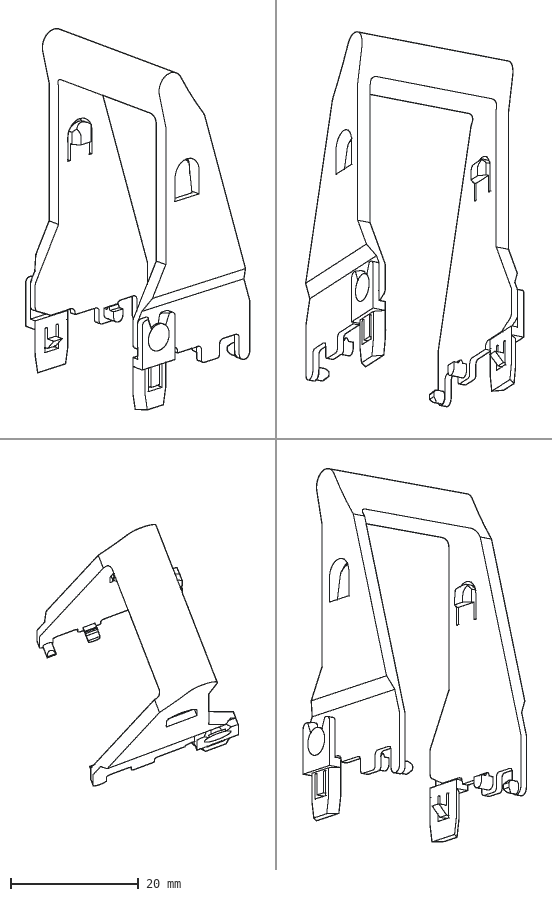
import cadquery as cq
import math

OUTER_X = 13.5
INNER_X = 11.25
LOWER_OUTER_X = 12.4
STEP_TOP_Z = 6.8
STEP_BOTTOM_Z = 4.65

FRONT_Y = -3.5
BACK_Y = 20.5
GRIP_R = 2.5
GRIP_Y = 2.55
GRIP_Z = 41.05
NECK_Z = 34.8
NECK_BACK_Y = 9.75
ARM_FRONT_Y = 1.5
ARM_BEND_Z = 11.75
FRONT_BEND_Z = 3.1
FRONT_BEND_R = 0.9
BACK_BEND_Z = 0.65
BACK_SCOOP_ANGLE = 30.0
FRONT_CORNER_R = 0.95
OPENING_TOP_Z = 36.3
OPENING_R = 1.0

PIVOT_EDGE_Z = -3.0
HEEL_Y = -0.2
HEEL_SLOPE = 25.0
EDGE_Z = -4.2
EDGE_R = 0.7
NOTCH_Y = 5.05
NOTCH_R = 1.0
LOBE_FRONT_Y = 10.15
LOBE_BACK_Y = 14.05
LOBE_BOTTOM_Z = -7.2
LOBE_R = 0.6
LEG_FRONT_Y = 18.2
LEG_R = (BACK_Y - LEG_FRONT_Y) / 2
LEG_Y = (BACK_Y + LEG_FRONT_Y) / 2
LEG_END_Z = -7.7

WINDOW_Y = 6.05
WINDOW_BOTTOM_Z = 21.8
WINDOW_ARC_Z = 25.75
WINDOW_R = 2.55
TONGUE_HALF_WIDTH = 2.05
TONGUE_TIP_Z = 27.8
TONGUE_ARC_R = 2.4
TONGUE_ROOT_RECESS = 1.1
TONGUE_TIP_RECESS = 1.95
BUMP_BOTTOM_Z = 24.6
BUMP_REACH = 1.45
BUMP_ROUND_Z = 25.7
BUMP_ROUND_R = 2.55
BUMP_CHAMFER = 1.0

LUG_Y = 12.15
LUG_R = 1.0
LUG_Z = -5.6
LUG_TOP_Z = -4.65
LUG_REACH = 2.3
RIDGE_OFFSET = 1.05
RIDGE_WIDTH = 0.8
RIDGE_TOP_WIDTH = 0.2
RIDGE_HEIGHT = 0.5
PIN_Y = 19.15
PIN_Z = -7.65
PIN_HALF_WIDTH = 0.8
PIN_HALF_HEIGHT = 1.05
PIN_REACH = 1.9
PIN_TIP_LENGTH = 0.65

PIVOT_HEAD_R = 2.2
PIVOT_HEAD_DEPTH = 0.35
PIVOT_NECK_R = 1.2
FOOT_HALF_WIDTH = 3.5
FOOT_TOP_Z = 3.5
FOOT_TOP_R = 0.85
FOOT_LEDGE_Z = -3.1
FOOT_BOTTOM_Z = -4.6
TAB_OUTER_X = 12.7
TAB_OUTER_HALF_WIDTH = 2.2
TAB_TAPER_Z = -9.15
TAB_BOTTOM_Z = -11.95
TAB_TAPER = 0.5
MOUTH_HALF_WIDTH = 1.3
MOUTH_ROOT_HALF_WIDTH = 0.5
MOUTH_LIP_R = 0.6
FLARE_HALF_WIDTH = 2.3
FLARE_ROOT_HALF_WIDTH = 0.7
SLOT_HALF_WIDTH = 1.45
SLOT_WIDTH = 0.55
SLOT_TOP_Z = -4.85
SLOT_BOTTOM_Z = -8.95
CATCH_TOP_Z = -6.75
CATCH_REACH = 1.5


def side_sketch(x):
    """Workplane at the given X whose two coordinates are Y and Z, extruding toward +X."""
    return cq.Workplane("YZ", origin=(x, 0, 0))


def front_sketch(y):
    """Workplane at the given Y whose two coordinates are X and Z, extruding toward -Y."""
    return cq.Workplane("XZ", origin=(0, y, 0))


def on_grip(angle):
    """Point of the grip circle at an angle in degrees from +Y toward +Z."""
    turn = math.radians(angle)
    return GRIP_Y + GRIP_R * math.cos(turn), GRIP_Z + GRIP_R * math.sin(turn)


def round_edges(body, corners, radius):
    """Round the edges along X that pass through the given (Y, Z) corners."""
    for y, z in corners:
        near = cq.selectors.BoxSelector(
            (-OUTER_X - 0.55, y - 0.05, z - 0.05), (OUTER_X + 0.55, y + 0.05, z + 0.05)
        )
        body = body.edges("|X").edges(near).fillet(radius)
    return body


def arm_profile():
    """Side outline of the grip and arms, extruded over the whole width."""
    neck_y = GRIP_Y - ARM_FRONT_Y
    neck_z = GRIP_Z - NECK_Z
    neck_distance = math.hypot(neck_y, neck_z)
    front_angle = math.degrees(math.atan2(-neck_z, -neck_y) - math.acos(GRIP_R / neck_distance))
    front_corner_z = PIVOT_EDGE_Z + (HEEL_Y - FRONT_Y) * math.tan(math.radians(HEEL_SLOPE))
    body = (
        side_sketch(-OUTER_X)
        .moveTo(ARM_FRONT_Y, NECK_Z)
        .lineTo(*on_grip(front_angle))
        .threePointArc(on_grip((front_angle - 180) / 2), on_grip(-180))
        .threePointArc(on_grip((180 + BACK_SCOOP_ANGLE) / 2), on_grip(BACK_SCOOP_ANGLE))
        .tangentArcPoint((NECK_BACK_Y, NECK_Z), relative=False)
        .lineTo(BACK_Y, BACK_BEND_Z)
        .lineTo(BACK_Y, LEG_END_Z)
        .threePointArc((LEG_Y, LEG_END_Z - LEG_R), (LEG_FRONT_Y, LEG_END_Z))
        .lineTo(LEG_FRONT_Y, EDGE_Z)
        .lineTo(LOBE_BACK_Y, EDGE_Z)
        .lineTo(LOBE_BACK_Y, LOBE_BOTTOM_Z)
        .lineTo(LOBE_FRONT_Y, LOBE_BOTTOM_Z)
        .lineTo(LOBE_FRONT_Y, EDGE_Z)
        .lineTo(NOTCH_Y, EDGE_Z)
        .lineTo(NOTCH_Y, PIVOT_EDGE_Z)
        .lineTo(HEEL_Y, PIVOT_EDGE_Z)
        .lineTo(FRONT_Y, front_corner_z)
        .lineTo(FRONT_Y, FRONT_BEND_Z)
        .lineTo(ARM_FRONT_Y, ARM_BEND_Z)
        .close()
        .extrude(2 * OUTER_X)
    )
    edge_corners = [(LEG_FRONT_Y, EDGE_Z), (LOBE_BACK_Y, EDGE_Z), (LOBE_FRONT_Y, EDGE_Z)]
    lobe_corners = [(LOBE_BACK_Y, LOBE_BOTTOM_Z), (LOBE_FRONT_Y, LOBE_BOTTOM_Z)]
    body = round_edges(body, edge_corners, EDGE_R)
    body = round_edges(body, lobe_corners, LOBE_R)
    body = round_edges(body, [(NOTCH_Y, PIVOT_EDGE_Z)], NOTCH_R)
    body = round_edges(body, [(FRONT_Y, front_corner_z)], FRONT_CORNER_R)
    return round_edges(body, [(FRONT_Y, FRONT_BEND_Z)], FRONT_BEND_R)


def between_arms():
    """Space between the arms, rounded where it meets the grip."""
    depth = BACK_Y - FRONT_Y
    bottom = LEG_END_Z - LEG_R
    return (
        cq.Workplane("XY")
        .box(2 * INNER_X, depth, OPENING_TOP_Z - bottom, centered=(True, False, False))
        .translate((0, FRONT_Y, bottom))
        .edges("|Y and >Z")
        .fillet(OPENING_R)
    )


def outer_step():
    """Material taken off the outside of the lower part of the +X arm."""
    bottom = LEG_END_Z - LEG_R
    return (
        front_sketch(BACK_Y)
        .moveTo(OUTER_X, STEP_TOP_Z)
        .lineTo(LOWER_OUTER_X, STEP_BOTTOM_Z)
        .lineTo(LOWER_OUTER_X, bottom)
        .lineTo(OUTER_X, bottom)
        .close()
        .extrude(BACK_Y - FRONT_Y)
    )


def arched_prism(x, depth, bottom_z, half_width, top_z, arc_radius):
    """Prism with a flat bottom and an arched top, centred on the window."""
    spring_z = top_z - arc_radius + math.sqrt(arc_radius**2 - half_width**2)
    return (
        side_sketch(x)
        .moveTo(WINDOW_Y - half_width, bottom_z)
        .lineTo(WINDOW_Y - half_width, spring_z)
        .threePointArc((WINDOW_Y, top_z), (WINDOW_Y + half_width, spring_z))
        .lineTo(WINDOW_Y + half_width, bottom_z)
        .close()
        .extrude(depth)
    )


def window():
    """Round-topped opening through the +X arm."""
    depth = OUTER_X - INNER_X
    return arched_prism(INNER_X, depth, WINDOW_BOTTOM_Z, WINDOW_R, WINDOW_ARC_Z + WINDOW_R, WINDOW_R)


def tongue_plate():
    """Tongue in the window, thinner toward its tip."""
    depth = OUTER_X - INNER_X
    plate = arched_prism(
        INNER_X, depth, WINDOW_BOTTOM_Z, TONGUE_HALF_WIDTH, TONGUE_TIP_Z, TONGUE_ARC_R
    )
    wedge = (
        front_sketch(WINDOW_Y + TONGUE_HALF_WIDTH)
        .moveTo(INNER_X, WINDOW_BOTTOM_Z)
        .lineTo(OUTER_X - TONGUE_ROOT_RECESS, WINDOW_BOTTOM_Z)
        .lineTo(OUTER_X - TONGUE_TIP_RECESS, TONGUE_TIP_Z)
        .lineTo(INNER_X, TONGUE_TIP_Z)
        .close()
        .extrude(2 * TONGUE_HALF_WIDTH)
    )
    return plate.intersect(wedge)


def tongue_bump():
    """Bump on the inner face of the tongue, with chamfered sides and a rounded upper end."""
    end_x = INNER_X - BUMP_REACH
    rise = TONGUE_TIP_Z - BUMP_ROUND_Z
    top_x = end_x + BUMP_ROUND_R - math.sqrt(BUMP_ROUND_R**2 - rise**2)
    block = arched_prism(
        end_x, BUMP_REACH, BUMP_BOTTOM_Z, TONGUE_HALF_WIDTH, TONGUE_TIP_Z, TONGUE_ARC_R
    )
    block = block.edges("|Z and <X").chamfer(BUMP_CHAMFER)
    rounded_end = (
        front_sketch(WINDOW_Y + TONGUE_HALF_WIDTH)
        .moveTo(INNER_X, BUMP_BOTTOM_Z)
        .lineTo(end_x, BUMP_BOTTOM_Z)
        .lineTo(end_x, BUMP_ROUND_Z)
        .tangentArcPoint((top_x, TONGUE_TIP_Z), relative=False)
        .lineTo(INNER_X, TONGUE_TIP_Z)
        .close()
        .extrude(2 * TONGUE_HALF_WIDTH)
    )
    return block.intersect(rounded_end)


def lug():
    """Round-bottomed lug with a narrow ridge across its top."""
    body = (
        side_sketch(INNER_X - LUG_REACH)
        .moveTo(LUG_Y - LUG_R, LUG_TOP_Z)
        .lineTo(LUG_Y - LUG_R, LUG_Z)
        .threePointArc((LUG_Y, LUG_Z - LUG_R), (LUG_Y + LUG_R, LUG_Z))
        .lineTo(LUG_Y + LUG_R, LUG_TOP_Z)
        .close()
        .extrude(LUG_REACH)
    )
    ridge_x = INNER_X - RIDGE_OFFSET
    ridge = (
        front_sketch(LUG_Y + LUG_R)
        .moveTo(ridge_x - RIDGE_WIDTH / 2, LUG_TOP_Z)
        .lineTo(ridge_x - RIDGE_TOP_WIDTH / 2, LUG_TOP_Z + RIDGE_HEIGHT)
        .lineTo(ridge_x + RIDGE_TOP_WIDTH / 2, LUG_TOP_Z + RIDGE_HEIGHT)
        .lineTo(ridge_x + RIDGE_WIDTH / 2, LUG_TOP_Z)
        .close()
        .extrude(2 * LUG_R)
    )
    return body.union(ridge)


def pin():
    """Oval pin whose end is cut to a blunt chisel by an upper and a lower slope."""
    tip_x = INNER_X - PIN_REACH
    half_tip = PIN_HALF_HEIGHT - PIN_TIP_LENGTH
    body = (
        side_sketch(tip_x)
        .center(PIN_Y, PIN_Z)
        .ellipse(PIN_HALF_WIDTH, PIN_HALF_HEIGHT)
        .extrude(PIN_REACH)
    )
    chisel = (
        front_sketch(PIN_Y + PIN_HALF_WIDTH)
        .moveTo(INNER_X, PIN_Z + PIN_HALF_HEIGHT)
        .lineTo(tip_x + PIN_TIP_LENGTH, PIN_Z + PIN_HALF_HEIGHT)
        .lineTo(tip_x, PIN_Z + half_tip)
        .lineTo(tip_x, PIN_Z - half_tip)
        .lineTo(tip_x + PIN_TIP_LENGTH, PIN_Z - PIN_HALF_HEIGHT)
        .lineTo(INNER_X, PIN_Z - PIN_HALF_HEIGHT)
        .close()
        .extrude(2 * PIN_HALF_WIDTH)
    )
    return body.intersect(chisel)


def pivot():
    """Headed pivot on the outside of the arm, its head flush with the foot."""
    neck = side_sketch(LOWER_OUTER_X).circle(PIVOT_NECK_R).extrude(OUTER_X - LOWER_OUTER_X)
    head = side_sketch(OUTER_X - PIVOT_HEAD_DEPTH).circle(PIVOT_HEAD_R).extrude(PIVOT_HEAD_DEPTH)
    return neck.union(head)


def on_both_sides(body):
    """The +X body and its mirror image."""
    return body, body.mirror("YZ")


def make_handle():
    """Grip bar and its two arms in one piece."""
    handle = arm_profile().cut(between_arms())
    for cutter in (outer_step(), window()):
        for side in on_both_sides(cutter):
            handle = handle.cut(side)
    for feature in (tongue_plate(), tongue_bump(), lug(), pin(), pivot()):
        for side in on_both_sides(feature):
            handle = handle.union(side)
    return handle


def v_outline(top_half_width, root_half_width):
    """Corners of a V that narrows from the top of the foot to the pivot axis."""
    return [
        (-top_half_width, FOOT_TOP_Z),
        (top_half_width, FOOT_TOP_Z),
        (root_half_width, 0),
        (-root_half_width, 0),
    ]


def mouth():
    """V entry with straight walls, from the top of the foot to the pivot axis."""
    outline = v_outline(MOUTH_HALF_WIDTH, MOUTH_ROOT_HALF_WIDTH)
    return side_sketch(LOWER_OUTER_X).polyline(outline).close().extrude(OUTER_X - LOWER_OUTER_X)


def flare():
    """Widening of the V entry toward the outer face of the foot."""
    return (
        side_sketch(LOWER_OUTER_X)
        .polyline(v_outline(MOUTH_HALF_WIDTH, MOUTH_ROOT_HALF_WIDTH))
        .close()
        .workplane(offset=OUTER_X - LOWER_OUTER_X)
        .polyline(v_outline(FLARE_HALF_WIDTH, FLARE_ROOT_HALF_WIDTH))
        .close()
        .loft(ruled=True)
    )


def foot_block(inner_x, outer_x, top_z):
    """Block of the width of the foot, from its shoulder up to the given height."""
    base = cq.Workplane("XY", origin=(inner_x, 0, FOOT_BOTTOM_Z))
    height = top_z - FOOT_BOTTOM_Z
    return base.box(outer_x - inner_x, 2 * FOOT_HALF_WIDTH, height, centered=(False, True, False))


def foot_plate():
    """Outer plate with the pivot hole and its V entry, thicker below the arm."""
    plate = foot_block(LOWER_OUTER_X, OUTER_X, FOOT_TOP_Z).cut(mouth())
    top_corners = [(-FOOT_HALF_WIDTH, FOOT_TOP_Z), (FOOT_HALF_WIDTH, FOOT_TOP_Z)]
    lips = [(-MOUTH_HALF_WIDTH, FOOT_TOP_Z), (MOUTH_HALF_WIDTH, FOOT_TOP_Z)]
    plate = round_edges(plate, top_corners, FOOT_TOP_R)
    plate = round_edges(plate, lips, MOUTH_LIP_R)
    plate = plate.cut(flare()).cut(pivot())
    return plate.union(foot_block(INNER_X, LOWER_OUTER_X, FOOT_LEDGE_Z))


def tab_outline(half_width):
    """Corners of the tab face with the given half width, tapered toward the tip."""
    tip = half_width - TAB_TAPER
    return [
        (-half_width, FOOT_BOTTOM_Z),
        (-half_width, TAB_TAPER_Z),
        (-tip, TAB_BOTTOM_Z),
        (tip, TAB_BOTTOM_Z),
        (half_width, TAB_TAPER_Z),
        (half_width, FOOT_BOTTOM_Z),
    ]


def tab():
    """Tab below the foot, with bevelled sides."""
    return (
        side_sketch(INNER_X)
        .polyline(tab_outline(FOOT_HALF_WIDTH))
        .close()
        .workplane(offset=TAB_OUTER_X - INNER_X)
        .polyline(tab_outline(TAB_OUTER_HALF_WIDTH))
        .close()
        .loft(ruled=True)
    )


def tab_slot():
    """U-shaped slot through the tab that frees the latch, with round upper ends."""
    thickness = TAB_OUTER_X - INNER_X
    latch_half_width = SLOT_HALF_WIDTH - SLOT_WIDTH
    slot = (
        side_sketch(INNER_X)
        .moveTo(0, SLOT_BOTTOM_Z + SLOT_WIDTH / 2)
        .rect(2 * SLOT_HALF_WIDTH, SLOT_WIDTH)
        .extrude(thickness)
    )
    arm_end_z = SLOT_TOP_Z - SLOT_WIDTH / 2
    for side in (-1, 1):
        centre_y = side * (latch_half_width + SLOT_WIDTH / 2)
        arm = (
            side_sketch(INNER_X)
            .moveTo(centre_y - SLOT_WIDTH / 2, SLOT_BOTTOM_Z)
            .lineTo(centre_y - SLOT_WIDTH / 2, arm_end_z)
            .threePointArc((centre_y, SLOT_TOP_Z), (centre_y + SLOT_WIDTH / 2, arm_end_z))
            .lineTo(centre_y + SLOT_WIDTH / 2, SLOT_BOTTOM_Z)
            .close()
            .extrude(thickness)
        )
        slot = slot.union(arm)
    return slot


def catch():
    """Catch on the inner face of the latch: flat on top, sloping back to the latch tip."""
    half_width = SLOT_HALF_WIDTH - SLOT_WIDTH
    return (
        front_sketch(half_width)
        .moveTo(INNER_X, CATCH_TOP_Z)
        .lineTo(INNER_X - CATCH_REACH, CATCH_TOP_Z)
        .lineTo(INNER_X, SLOT_BOTTOM_Z + SLOT_WIDTH)
        .close()
        .extrude(2 * half_width)
    )


def make_feet():
    """The foot on the +X arm and its mirror image."""
    foot = foot_plate().union(tab()).cut(tab_slot()).union(catch())
    return on_both_sides(foot)


handle = make_handle()
feet = make_feet()
result = cq.Compound.makeCompound([body.solids().val() for body in (handle, *feet)])